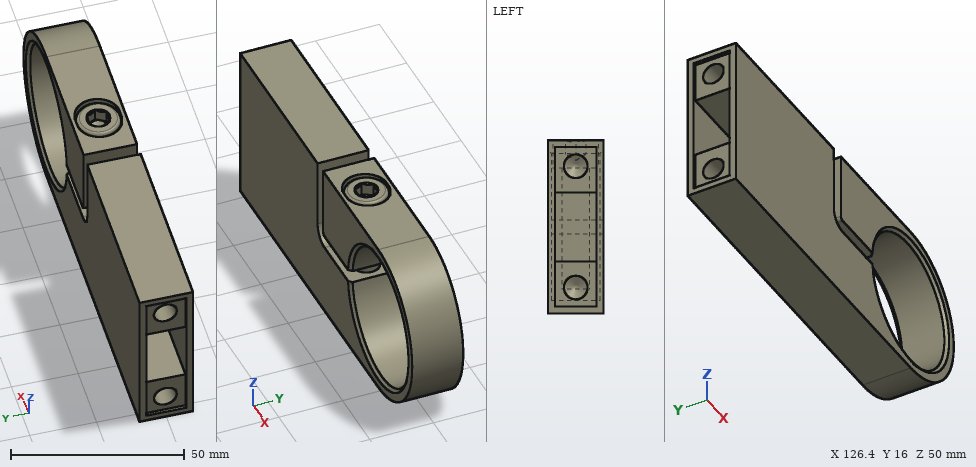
import cadquery as cq
import math

LENGTH = 126.4
WIDTH = 16.0
HEIGHT = 50.0
MID_Z = 0.0
TOP_Z = HEIGHT / 2

RING_RADIUS = HEIGHT / 2
RING_X = LENGTH - RING_RADIUS
BORE_RADIUS = 21.2
BORE_CHAMFER = 1.0

GAP = 4.0
GAP_X = 56.9
GAP_INNER_RADIUS = 1.0
GAP_OUTER_RADIUS = GAP_INNER_RADIUS + GAP

END_WALL = 2.0
RECESS_DEPTH = 1.0
RECESS_WIDTH = WIDTH - 2 * END_WALL
RECESS_HEIGHT = HEIGHT - 2 * END_WALL
POCKET_HEIGHT = 20.0
POCKET_DEPTH = 40.0
END_HOLE_DIAMETER = 6.8
END_HOLE_SPACING = 35.0
END_HOLE_DEPTH = 20.0
DRILL_POINT_ANGLE = 118.0

SCREW_X = 74.0
SHANK_DIAMETER = 8.0
SHANK_LENGTH = 35.0
HEAD_DIAMETER = 13.0
HEAD_HEIGHT = 8.0
HEAD_FILLET = 1.0
SOCKET_SIDES = 6
SOCKET_FLATS = 6.0
SOCKET_DEPTH = 4.0
SEAT_WIDTH = 13.3
SEAT_LENGTH = 15.2

SOCKET_CORNERS = SOCKET_FLATS / math.cos(math.pi / SOCKET_SIDES)
HEAD_BASE_Z = TOP_Z - HEAD_HEIGHT


def point_height(radius):
    """Height of the conical point a drill of this radius leaves."""
    return radius / math.tan(math.radians(DRILL_POINT_ANGLE / 2))


def drilled_hole(diameter, depth, start, direction):
    """Blind round hole, its full-diameter depth followed by a conical point."""
    radius = diameter / 2
    tip_start = start + direction * depth
    hole = cq.Solid.makeCylinder(radius, depth, start, direction)
    point = cq.Solid.makeCone(radius, 0, point_height(radius), tip_start, direction)
    return hole.fuse(point)


def make_blank():
    """Flat bar with a round end, pierced by the ring bore chamfered on both sides."""
    bar = cq.Workplane("XY").box(RING_X, WIDTH, HEIGHT, centered=(False, True, True))
    mid_plane = cq.Workplane("XZ").center(RING_X, MID_Z)
    round_end = mid_plane.circle(RING_RADIUS).extrude(WIDTH / 2, both=True)
    bore = mid_plane.circle(BORE_RADIUS).extrude(WIDTH / 2, both=True)
    blank = bar.union(round_end).cut(bore)
    for side in (-1, 1):
        rim = cq.Vector(RING_X, side * WIDTH / 2, MID_Z)
        inward = cq.Vector(0, -side, 0)
        flare = cq.Solid.makeCone(
            BORE_RADIUS + BORE_CHAMFER, BORE_RADIUS, BORE_CHAMFER, rim, inward
        )
        blank = blank.cut(flare)
    return blank


def make_gap():
    """Gap running down from the top, round a corner and along into the bore."""
    floor_z = MID_Z - GAP / 2
    ceiling_z = MID_Z + GAP / 2
    far_side_x = GAP_X + GAP
    centre_x = far_side_x + GAP_INNER_RADIUS
    centre_z = ceiling_z + GAP_INNER_RADIUS
    outer_reach = GAP_OUTER_RADIUS * math.sqrt(0.5)
    inner_reach = GAP_INNER_RADIUS * math.sqrt(0.5)
    return (
        cq.Workplane("XZ")
        .moveTo(GAP_X, TOP_Z)
        .lineTo(GAP_X, centre_z)
        .threePointArc((centre_x - outer_reach, centre_z - outer_reach), (centre_x, floor_z))
        .lineTo(RING_X, floor_z)
        .lineTo(RING_X, ceiling_z)
        .lineTo(centre_x, ceiling_z)
        .threePointArc((centre_x - inner_reach, centre_z - inner_reach), (far_side_x, centre_z))
        .lineTo(far_side_x, TOP_Z)
        .close()
        .extrude(WIDTH / 2, both=True)
    )


def cut_end_face(body):
    """Shallow recess, deep middle pocket and two drilled holes in the end face."""
    from_end = (False, True, True)
    recess = cq.Workplane("XY").box(RECESS_DEPTH, RECESS_WIDTH, RECESS_HEIGHT, centered=from_end)
    pocket = cq.Workplane("XY").box(POCKET_DEPTH, RECESS_WIDTH, POCKET_HEIGHT, centered=from_end)
    body = body.cut(recess).cut(pocket)
    for side in (-1, 1):
        start = cq.Vector(RECESS_DEPTH, 0, MID_Z + side * END_HOLE_SPACING / 2)
        body = body.cut(drilled_hole(END_HOLE_DIAMETER, END_HOLE_DEPTH, start, cq.Vector(1, 0, 0)))
    return body


def make_shank():
    """Plain cylinder from the underside of the screw head downwards."""
    return (
        cq.Workplane("XY", origin=(SCREW_X, 0, HEAD_BASE_Z))
        .circle(SHANK_DIAMETER / 2)
        .extrude(-SHANK_LENGTH)
    )


def make_head_seat():
    """Elongated counterbore that the screw head sits in."""
    return (
        cq.Workplane("XY", origin=(SCREW_X, 0, HEAD_BASE_Z))
        .slot2D(SEAT_LENGTH, SEAT_WIDTH)
        .extrude(HEAD_HEIGHT)
    )


def make_socket():
    """Hexagon socket with a countersunk mouth and a conical floor."""
    down = cq.Vector(0, 0, -1)
    mouth = cq.Vector(SCREW_X, 0, TOP_Z)
    floor = mouth + down * SOCKET_DEPTH
    flat_radius = SOCKET_FLATS / 2
    corner_radius = SOCKET_CORNERS / 2
    hexagon = (
        cq.Workplane("XY", origin=mouth.toTuple())
        .polygon(SOCKET_SIDES, SOCKET_CORNERS)
        .extrude(-SOCKET_DEPTH)
    )
    countersink = cq.Solid.makeCone(
        corner_radius, flat_radius, corner_radius - flat_radius, mouth, down
    )
    point = cq.Solid.makeCone(flat_radius, 0, point_height(flat_radius), floor, down)
    return hexagon.union(cq.Workplane(countersink)).union(cq.Workplane(point))


def make_clamp():
    """Clamp body with its gap, end-face openings and screw seat."""
    body = make_blank().cut(make_gap())
    body = cut_end_face(body)
    return body.cut(make_head_seat()).cut(make_shank())


def make_screw():
    """Socket head cap screw, its head flush with the top of the clamp."""
    head = (
        cq.Workplane("XY", origin=(SCREW_X, 0, HEAD_BASE_Z))
        .circle(HEAD_DIAMETER / 2)
        .extrude(HEAD_HEIGHT)
        .faces(">Z")
        .edges()
        .fillet(HEAD_FILLET)
    )
    return head.union(make_shank()).cut(make_socket())


clamp = make_clamp()
screw = make_screw()
result = cq.Compound.makeCompound([clamp.val(), screw.val()])